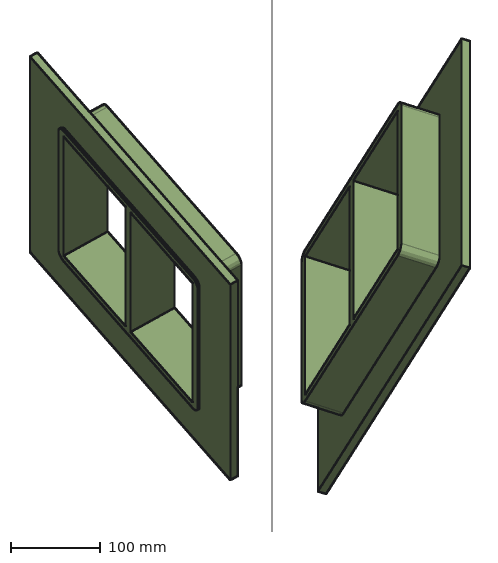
import cadquery as cq

plate_width = 391.0
plate_height = 358.0
plate_thickness = 10.0

plate_border = 60.0
sleeve_width = plate_width - 2 * plate_border
sleeve_height = plate_height - 2 * plate_border
sleeve_depth = 60.0
sleeve_corner_radius = 10.0
front_lip = 2.7

wall = 10.0
opening_width = (sleeve_width - 3 * wall) / 2
opening_height = sleeve_height - 2 * wall
opening_spacing = opening_width + wall


def upright_block(width, height, depth, front_y):
    """Block centred in X and Z, reaching from front_y towards +Y."""
    return cq.Workplane("XY").box(width, depth, height).translate((0, front_y + depth / 2, 0))


plate = upright_block(plate_width, plate_height, plate_thickness, front_lip)

sleeve = upright_block(sleeve_width, sleeve_height, sleeve_depth, 0)
sleeve = sleeve.edges("|Y").fillet(sleeve_corner_radius)

result = plate.union(sleeve)

for side in (-1, 1):
    opening = upright_block(opening_width, opening_height, sleeve_depth, 0)
    result = result.cut(opening.translate((side * opening_spacing / 2, 0, 0)))